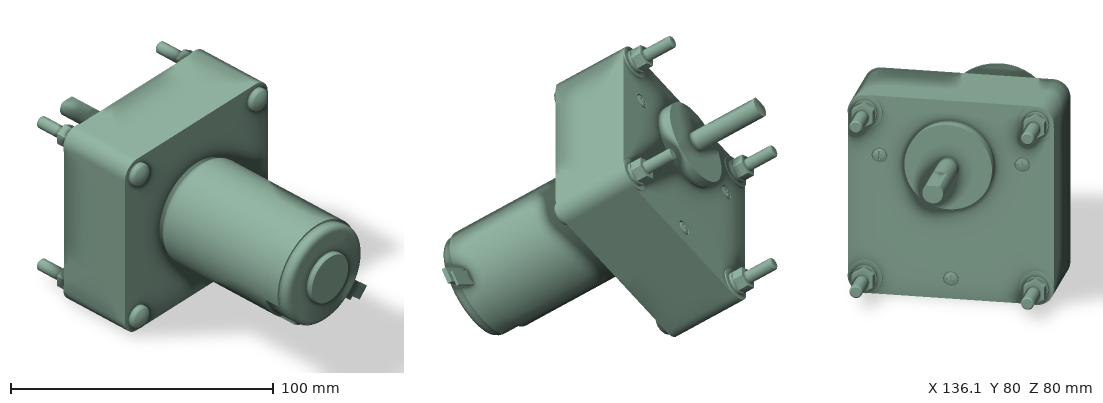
import cadquery as cq
import math


box_side = 80.0
corner_radius = 6.7
housing_length = 29.5
cover_thickness = 2.0
box_back = housing_length + cover_thickness
pad_height = 0.5
corner_pitch = box_side / 2 - corner_radius

output_z = 15.0
hub_diameter = 34.0
hub_length = 5.4
shaft_diameter = 8.0
shaft_length = 30.0
shaft_flat_length = 14.0
shaft_flat_depth = 1.0

bolt_diameter = 5.0
bolt_tip_x = -18.4
bolt_chamfer = 0.5
washer_diameter = 9.5
washer_thickness = 1.25
washer_split = 0.6
nut_thickness = 4.4
nut_across_flats = 8.0
head_diameter = 9.5
head_rim_height = 1.2
head_shoulder_height = 2.5
head_shoulder_radius = 4.2
head_height = 3.9

screw_circle_radius = 32.0
screw_angles = (30, 150, 270)
screw_recess_diameter = 6.1
screw_recess_depth = 0.6
screw_head_diameter = 5.0
screw_head_height = 0.45
screw_slot_width = 0.6
screw_slot_length = 3.6
screw_slot_depth = 0.5

neck_radius = 20.75
neck_end = box_back + 1.6
can_radius = 22.0
can_shoulder_end = neck_end + 2.8
can_end = 86.7
ring_end = can_end + 7.1
bell_radius = 21.1
bell_fillet = 2.2
bell_end = ring_end + 4.5
cap_radius = 10.55
cap_end = bell_end + 2.4
cap_chamfer_length = 0.9
cap_chamfer_height = 0.4

notch_top_z = -5.1
notch_bottom_z = -17.8
notch_floor_radius = 20.8

tab_front = can_end + 2.4
tab_thickness = 1.8
tab_width = 6.0
tab_reach = 39.5
tab_angle = -42.2
strip_thickness = 0.9
strip_reach = 36.8
strip_angle = -45.0
terminal_root = 15.0


def cylinder(x_start, x_end, diameter, y=0.0, z=0.0):
    """Cylinder along X between two positions."""
    return (
        cq.Workplane(cq.Plane(origin=(x_start, y, z), xDir=(0, 0, 1), normal=(1, 0, 0)))
        .circle(diameter / 2)
        .extrude(x_end - x_start)
    )


def block(x_start, x_end, y_size, z_size, y=0.0, z=0.0):
    """Rectangular block between two X positions, centred on (y, z)."""
    return (
        cq.Workplane("YZ", origin=(x_start, y, z))
        .rect(y_size, z_size)
        .extrude(x_end - x_start)
    )


def revolve_about_x(profile):
    """Revolve a closed profile drawn in the XZ plane about the X axis."""
    return profile.close().revolve(360, (0, 0, 0), (1, 0, 0))


def join(pieces):
    """Union of the pieces that keeps the joint lines between flush faces."""
    joined = pieces[0]
    for piece in pieces[1:]:
        joined = joined.union(piece, clean=False)
    return joined


def make_gearbox():
    housing = block(0, housing_length, box_side, box_side).edges("|X").fillet(corner_radius)
    cover = block(housing_length, box_back, box_side, box_side).edges("|X").fillet(corner_radius)
    return join([housing, cover])


def make_output_shaft():
    hub = cylinder(-hub_length, 0, hub_diameter, z=output_z)
    shaft_tip = -hub_length - shaft_length
    shaft = cylinder(shaft_tip, -hub_length, shaft_diameter, z=output_z)
    flat_top = output_z + shaft_diameter / 2
    flat_cut = block(
        shaft_tip,
        shaft_tip + shaft_flat_length,
        shaft_diameter,
        2 * shaft_flat_depth,
        z=flat_top,
    )
    return join([hub, shaft.cut(flat_cut)])


def make_bolt_head():
    rim_x = box_back + head_rim_height
    shoulder_x = box_back + head_shoulder_height
    top_x = box_back + head_height
    crown_rise = head_height - head_shoulder_height
    crown_radius = (head_shoulder_radius**2 + crown_rise**2) / (2 * crown_rise)
    profile = (
        cq.Workplane("XZ")
        .moveTo(box_back, 0)
        .lineTo(box_back, head_diameter / 2)
        .lineTo(rim_x, head_diameter / 2)
        .tangentArcPoint((shoulder_x, head_shoulder_radius), relative=False)
        .radiusArc((top_x, 0), crown_radius)
    )
    return revolve_about_x(profile)


def make_corner_bolt():
    """Pad, split washer, nut, bolt end and bolt head of one corner, on the X axis."""
    washer_front = -pad_height - washer_thickness
    nut_front = washer_front - nut_thickness
    pad = cylinder(-pad_height, 0, 2 * corner_radius)
    washer = cylinder(washer_front, -pad_height, washer_diameter)
    split = block(
        washer_front,
        -pad_height,
        (washer_diameter - bolt_diameter) / 2,
        washer_split,
        y=-(washer_diameter + bolt_diameter) / 4,
    )
    nut_across_corners = nut_across_flats / math.cos(math.pi / 6)
    nut = (
        cq.Workplane("YZ", origin=(nut_front, 0, 0))
        .transformed(rotate=(0, 0, 90))
        .polygon(6, nut_across_corners)
        .extrude(nut_thickness)
    )
    stud = cylinder(bolt_tip_x, box_back, bolt_diameter).faces("<X").chamfer(bolt_chamfer)
    return join([stud, pad, washer.cut(split), nut, make_bolt_head()])


def make_screw_recess():
    return cylinder(0, screw_recess_depth, screw_recess_diameter)


def make_screw_head():
    """Domed head standing in its recess, with a cross slot in the crown."""
    top_x = -screw_head_height
    edge_radius = screw_head_diameter / 2
    crown_radius = (edge_radius**2 + screw_head_height**2) / (2 * screw_head_height)
    profile = (
        cq.Workplane("XZ")
        .moveTo(screw_recess_depth, 0)
        .lineTo(screw_recess_depth, edge_radius)
        .lineTo(0, edge_radius)
        .radiusArc((top_x, 0), -crown_radius)
    )
    slot_bottom = top_x + screw_slot_depth
    slot_y = block(top_x, slot_bottom, screw_slot_length, screw_slot_width)
    slot_z = block(top_x, slot_bottom, screw_slot_width, screw_slot_length)
    return revolve_about_x(profile).cut(slot_y).cut(slot_z)


def make_front_can():
    shoulder_length = can_shoulder_end - neck_end
    shoulder_rise = can_radius - neck_radius
    shoulder_radius = (shoulder_length**2 + shoulder_rise**2) / (2 * shoulder_rise)
    profile = (
        cq.Workplane("XZ")
        .moveTo(box_back, 0)
        .lineTo(box_back, neck_radius)
        .lineTo(neck_end, neck_radius)
        .radiusArc((can_shoulder_end, can_radius), shoulder_radius)
        .lineTo(can_end, can_radius)
        .lineTo(can_end, 0)
    )
    return revolve_about_x(profile)


def make_bell(x_start, radius):
    """Cylinder ending at the rear face, with a rounded rear edge."""
    return cylinder(x_start, bell_end, 2 * radius).faces(">X").edges().fillet(bell_fillet)


def make_rear_end():
    ring = cylinder(can_end, ring_end, 2 * can_radius)
    notch = block(
        can_end,
        bell_end,
        can_radius,
        notch_top_z - notch_bottom_z,
        y=-can_radius / 2,
        z=(notch_top_z + notch_bottom_z) / 2,
    )
    notched_rim = join([ring, make_bell(ring_end, bell_radius)]).cut(notch)
    return join([notched_rim, make_bell(can_end, notch_floor_radius), make_bearing_cap()])


def make_bearing_cap():
    profile = (
        cq.Workplane("XZ")
        .moveTo(bell_end, 0)
        .lineTo(bell_end, cap_radius)
        .lineTo(cap_end - cap_chamfer_length, cap_radius)
        .lineTo(cap_end, cap_radius - cap_chamfer_height)
        .lineTo(cap_end, 0)
    )
    return revolve_about_x(profile)


def make_terminal_plate(x_start, x_end, reach, angle):
    """Plate reaching out from inside the end ring at an angle from +Y towards +Z."""
    plate = block(x_start, x_end, reach - terminal_root, tab_width, y=(reach + terminal_root) / 2)
    return plate.rotate((0, 0, 0), (1, 0, 0), angle)


def make_terminal():
    tab = make_terminal_plate(tab_front, tab_front + tab_thickness, tab_reach, tab_angle)
    strip = make_terminal_plate(tab_front - strip_thickness, tab_front, strip_reach, strip_angle)
    return join([tab, strip])


gearbox = make_gearbox()
pieces = []

for angle in screw_angles:
    screw_y = screw_circle_radius * math.cos(math.radians(angle))
    screw_z = screw_circle_radius * math.sin(math.radians(angle))
    screw_place = (0, screw_y, screw_z)
    gearbox = gearbox.cut(make_screw_recess().translate(screw_place), clean=False)
    pieces.append(make_screw_head().translate(screw_place))

for y_side in (-1, 1):
    for z_side in (-1, 1):
        bolt_place = (0, y_side * corner_pitch, z_side * corner_pitch)
        pieces.append(make_corner_bolt().translate(bolt_place))

pieces += [make_output_shaft(), make_front_can(), make_rear_end(), make_terminal()]
result = join([gearbox] + pieces)